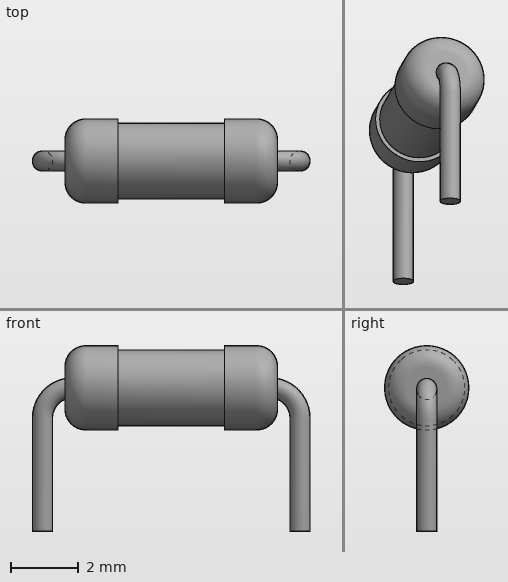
import cadquery as cq

overall_length = 8.22
wire_diameter = 0.6
bend_radius = 0.9
lead_depth = 4.25
body_length = 6.3
cap_diameter = 2.5
cap_length = 1.58
cap_fillet = 0.625
barrel_diameter = 2.25

lead_x = (overall_length - wire_diameter) / 2
bend_end_x = lead_x - bend_radius


def make_barrel():
    """Slim middle cylinder between the end caps."""
    barrel_length = body_length - 2 * cap_length
    return cq.Workplane("YZ").circle(barrel_diameter / 2).extrude(barrel_length / 2, both=True)


def make_cap():
    """End cap on the +X side with a rounded outer rim."""
    return (
        cq.Workplane("YZ")
        .workplane(offset=body_length / 2 - cap_length)
        .circle(cap_diameter / 2)
        .extrude(cap_length)
        .faces(">X")
        .edges()
        .fillet(cap_fillet)
    )


def make_lead():
    """Wire on the +X side: straight up, then bent a quarter turn into the cap."""
    straight_length = lead_depth - bend_radius
    straight = (
        cq.Workplane("XY")
        .center(lead_x, 0)
        .circle(wire_diameter / 2)
        .extrude(straight_length)
        .translate((0, 0, -lead_depth))
    )
    bend_path = cq.Workplane("XZ").moveTo(lead_x, -bend_radius).radiusArc((bend_end_x, 0), -bend_radius)
    bend = (
        cq.Workplane("XY", origin=(lead_x, 0, -bend_radius))
        .circle(wire_diameter / 2)
        .sweep(bend_path)
    )
    return straight.union(bend)


end_assembly = make_cap().union(make_lead())
result = make_barrel().union(end_assembly).union(end_assembly.mirror("YZ"))